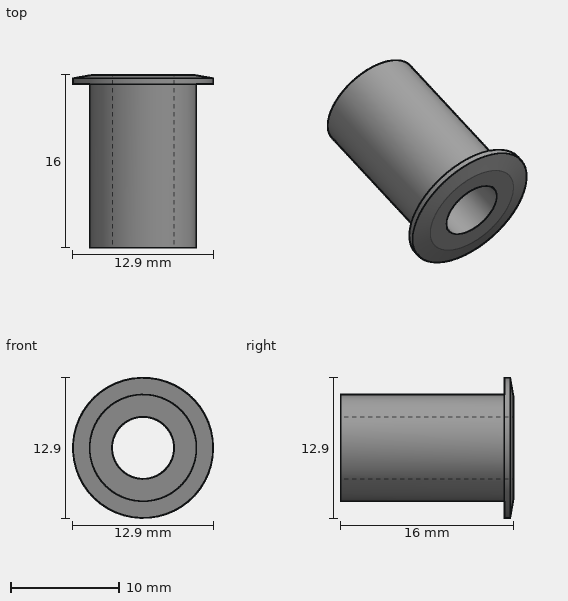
import cadquery as cq
import math

bore_diameter = 5.7
sleeve_diameter = 9.85
flange_diameter = 12.95

overall_length = 15.95
sleeve_length = 15.1
bevel_height = 0.31
bevel_angle = 10

bore_radius = bore_diameter / 2
sleeve_radius = sleeve_diameter / 2
flange_radius = flange_diameter / 2
rim_end = overall_length - bevel_height
crown_radius = flange_radius - bevel_height / math.tan(math.radians(bevel_angle))


def half_section():
    """Radius along X and axial position along Y, with the sleeve's free end at Y = 0."""
    return (
        cq.Workplane("XY")
        .moveTo(bore_radius, 0)
        .lineTo(sleeve_radius, 0)
        .lineTo(sleeve_radius, sleeve_length)
        .lineTo(flange_radius, sleeve_length)
        .lineTo(flange_radius, rim_end)
        .lineTo(crown_radius, overall_length)
        .lineTo(bore_radius, overall_length)
        .close()
    )


result = half_section().revolve(360, (0, 0, 0), (0, 1, 0))